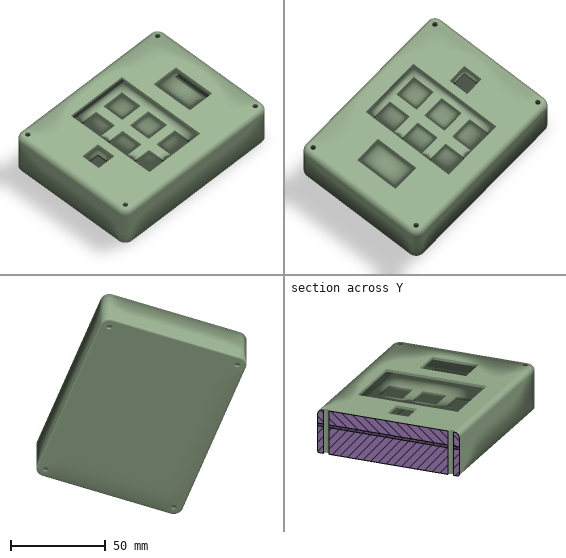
import cadquery as cq

length = 108.5
width = 82.0
height = 25.2
corner_radius = 5.0
top_edge_radius = 3.0
bottom_edge_radius = 1.1

lid_height = 8.0
plate_thickness = 1.5
base_height = height - lid_height - plate_thickness
plate_top = base_height + plate_thickness

side_wall = 9.8
end_wall = 10.0
cavity_width = width - 2 * side_wall
cavity_length = length - 2 * end_wall
lid_roof = 1.5
base_floor = lid_roof

screw_hole_diameter = 2.9
screw_spacing_x = width - 2 * corner_radius
screw_spacing_y = length - 2 * corner_radius

key_hole_size = 14.0
key_pitch = 19.5
key_columns = 3
key_rows = 2
keypad_y = -4.5
keypad_window_width = 57.9
keypad_window_length = 38.5

display_y = 31.4
display_window_width = 26.8
display_window_length = 16.8
header_slot_width = 28.2
header_slot_length = 3.4
header_slot_y = 41.5

knob_x = 1.6
knob_y = -34.4
knob_window_width = 12.2
knob_window_length = 11.8
knob_hole_margin = 0.2

board_gap = 3.5
board_thickness = 1.6
board_bottom = base_height - board_gap - board_thickness


def centred_box(box_width, box_length, bottom, box_height, x=0.0, y=0.0):
    """Upright box centred on (x, y), with its lower face at the given height."""
    return (
        cq.Workplane("XY", origin=(x, y, bottom))
        .rect(box_width, box_length)
        .extrude(box_height)
    )


def case_layer(bottom, layer_height):
    """Slab with the rounded outline of the case."""
    return centred_box(width, length, bottom, layer_height).edges("|Z").fillet(corner_radius)


def drill_screw_holes(body):
    """Cut the four corner screw holes through the full height of the case."""
    holes = (
        cq.Workplane("XY")
        .rect(screw_spacing_x, screw_spacing_y, forConstruction=True)
        .vertices()
        .circle(screw_hole_diameter / 2)
        .extrude(height)
    )
    return body.cut(holes)


def make_base():
    base = case_layer(0, base_height).faces("<Z").edges().fillet(bottom_edge_radius)
    cavity = centred_box(cavity_width, cavity_length, base_floor, base_height - base_floor)
    return drill_screw_holes(base.cut(cavity))


def make_board():
    return centred_box(cavity_width, cavity_length, board_bottom, board_thickness)


def make_plate():
    plate = case_layer(base_height, plate_thickness)
    key_holes = (
        cq.Workplane("XY", origin=(0, keypad_y, base_height))
        .rarray(key_pitch, key_pitch, key_columns, key_rows)
        .rect(key_hole_size, key_hole_size)
        .extrude(plate_thickness)
    )
    header_slot = centred_box(
        header_slot_width, header_slot_length, base_height, plate_thickness, y=header_slot_y
    )
    knob_hole = centred_box(
        knob_window_width + 2 * knob_hole_margin,
        knob_window_length + 2 * knob_hole_margin,
        base_height,
        plate_thickness,
        knob_x,
        knob_y,
    )
    return drill_screw_holes(plate.cut(key_holes).cut(header_slot).cut(knob_hole))


def make_lid():
    lid = case_layer(plate_top, lid_height).faces(">Z").edges().fillet(top_edge_radius)
    cavity = centred_box(cavity_width, cavity_length, plate_top, lid_height - lid_roof)
    keypad_window = centred_box(
        keypad_window_width, keypad_window_length, plate_top, lid_height, y=keypad_y
    )
    display_window = centred_box(
        display_window_width, display_window_length, plate_top, lid_height, y=display_y
    )
    knob_window = centred_box(
        knob_window_width, knob_window_length, plate_top, lid_height, knob_x, knob_y
    )
    lid = lid.cut(cavity).cut(keypad_window).cut(display_window).cut(knob_window)
    return drill_screw_holes(lid)


base = make_base()
board = make_board()
plate = make_plate()
lid = make_lid()

result = cq.Compound.makeCompound([base.val(), board.val(), plate.val(), lid.val()])